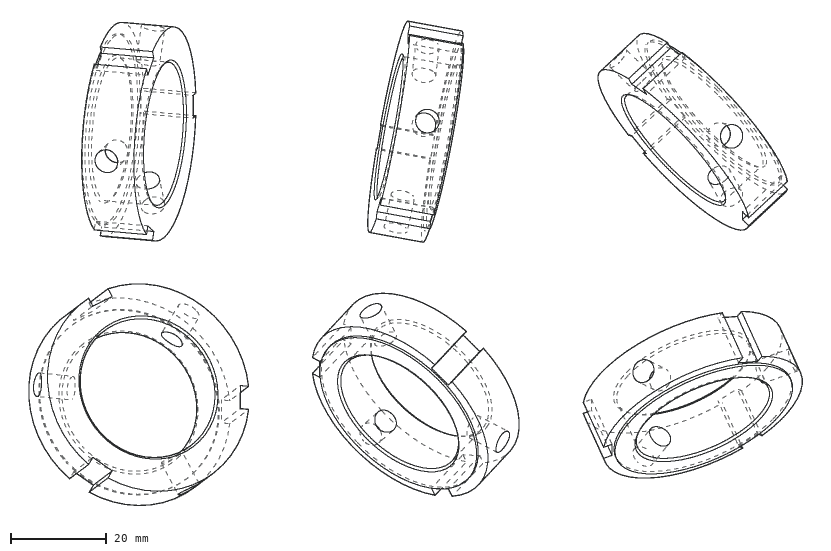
import cadquery as cq

outer_diameter = 44.9
total_length = 12.0
lip_diameter = 40.0
lip_length = 0.6
bore_diameter = 30.0
bore_chamfer = 0.5

repeat_count = 3
repeat_angle = 360 / repeat_count
slot_width = 5.0
slot_floor_radius = 20.4
hole_diameter = 4.95
hole_x = total_length / 2

outer_radius = outer_diameter / 2
bore_radius = bore_diameter / 2


def ring_body():
    """Bored ring with a raised face and a chamfer at both bore ends."""
    body_length = total_length - lip_length
    lip = cq.Workplane("YZ").circle(lip_diameter / 2).extrude(lip_length)
    body = cq.Workplane("YZ", origin=(lip_length, 0, 0)).circle(outer_radius).extrude(body_length)
    bore_profile = [
        (0, 0),
        (0, bore_radius + bore_chamfer),
        (bore_chamfer, bore_radius),
        (total_length - bore_chamfer, bore_radius),
        (total_length, bore_radius + bore_chamfer),
        (total_length, 0),
    ]
    bore = cq.Workplane("XY").polyline(bore_profile).close().revolve(360, (0, 0, 0), (1, 0, 0))
    return body.union(lip).cut(bore)


def spanner_slot():
    """Flat-bottomed slot across the rim on the +Y side."""
    slot = cq.Workplane("XY").box(
        total_length, outer_radius, slot_width, centered=(False, False, True)
    )
    return slot.translate((0, slot_floor_radius, 0))


def radial_hole():
    """Hole from the axis outward through the wall on the -Y side."""
    return cq.Workplane("XZ", origin=(hole_x, 0, 0)).circle(hole_diameter / 2).extrude(outer_diameter)


result = ring_body()
for index in range(repeat_count):
    for cutter in (spanner_slot(), radial_hole()):
        result = result.cut(cutter.rotate((0, 0, 0), (1, 0, 0), index * repeat_angle))